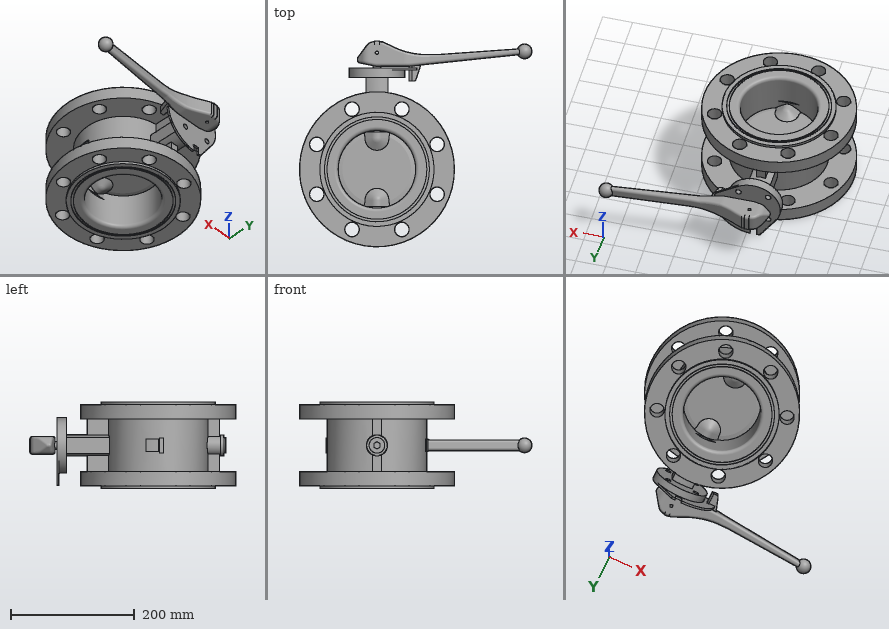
import cadquery as cq
import math


OVERALL_WIDTH = 375
OVERALL_DEPTH = 332.0

BODY_LENGTH = 140.0
BORE_DIA = 125.0
BORE_LIP_RADIUS = 6.0
BARREL_DIA = 161.0
FLANGE_DIA = 250.0
FLANGE_THICKNESS = 23.2
RAISED_FACE_DIA = 184.0
RAISED_FACE_HEIGHT = 4.5
GROOVE_OUTER_DIA = 169.0
GROOVE_INNER_DIA = 161.0
GROOVE_DEPTH = 2.2
BOLT_HOLE_DIA = 23.0
BOLT_CIRCLE_DIA = 210
BOLT_COUNT = 8

HALF_LENGTH = BODY_LENGTH / 2
BORE_RADIUS = BORE_DIA / 2
BARREL_RADIUS = BARREL_DIA / 2
FLANGE_TOP = HALF_LENGTH - RAISED_FACE_HEIGHT
FLANGE_INNER = FLANGE_TOP - FLANGE_THICKNESS

RIB_WIDTH = 15.0
RIB_FRONT_REACH = 99.0
RIB_BACK_REACH = 114.7

MARK_RADIUS = 82.0
MARK_SQUARE_HEIGHT = 20.0
MARK_SQUARE_Y = (-0.7, 20.0)
MARK_BAR_HEIGHT = 24.5
MARK_BAR_Y = (-8.5, -2.2)

DISC_FLAT_DIA = 110.5
DISC_HALF_THICKNESS = 4.0
DISC_RIM_HALF_THICKNESS = 3.0
SEAT_Y = 60.0
SEAT_HEIGHT = 36.0
HUB_CENTRE_Y = 50.0
HUB_CREST_HEIGHT = 15.0
HUB_CREST_HALF_WIDTH = 6.7
HUB_SLOPE = math.radians(35)

BOSS_DIA = 32.0
COLLAR_DIA = 34.0
COLLAR_START = 100.5
COLLAR_END = 105.7
CAP_DIA = 25.0
CAP_END = 109.0
HEX_ACROSS_FLATS = 10.0
HEX_DEPTH = 5.5

NECK_WIDTH = 36.0
NECK_HEIGHT = 35.0
NECK_FLAT_HEIGHT = 26.0
MOUNT_DIA = 90
MOUNT_START = 147.7
MOUNT_END = 160.0
MOUNT_HOLE_DIA = 9.0
MOUNT_HOLE_CIRCLE_DIA = 70.0
MOUNT_HOLE_COUNT = 4
QUADRANT_RADIUS = 65.0
QUADRANT_END = 163.5
QUADRANT_TANGENT_ANGLE = math.radians(56)

LEVER_BOTTOM = 166.0
LEVER_TOP = 206.0
HEAD_HALF_WIDTH = 14.5
HEAD_NOSE_X = -33.5
HEAD_NOSE_Y = (172.5, 177.0)
HEAD_SOLE_X = (-2.0, 52.5)
HEAD_BACK_TOP = (22.5, 199.5)
HEAD_BACK_MID = (48.0, 189.5)
HEAD_SHOULDER_X = -18.7
HEAD_SHOULDER_RADIUS = 15.0
HEAD_END_X = 46.0
HEAD_END_RADIUS = 26.2
HEAD_CROWN_X = (-12.0, 8.5)
HEAD_CROWN_RADIUS = 15
ARM_START_X = 85.5
ARM_START_TOP = 185.2
ARM_BEND_X = 99.7
ARM_END_Y = (185.5, 195.0)
ARM_WIDTH = 17.5
ARM_HALF_WIDTH = ARM_WIDTH / 2
LEVER_EDGE_RADIUS = 4.5
STEM_DIA = 12.7
LEVER_HOLE_DIA = 5.0
LEVER_HOLE_Y = 188.0
TAB_WIDTH = 7.5
TAB_BOTTOM = 201.5
TAB_TOP = OVERALL_DEPTH - FLANGE_DIA / 2
TAB_EDGE_RADIUS = 5.0
KNOB_DIA = 24.0
KNOB_X = OVERALL_WIDTH - FLANGE_DIA / 2 - KNOB_DIA / 2
KNOB_Y = 190.0
LATCH_START_X = 51.5
LATCH_BOTTOM = 142.0
LATCH_THICKNESS = 11.2
LATCH_TIP_X = 62.2
LATCH_ROOT_X = 71.5
LATCH_TIP_RADIUS = 3.7
LATCH_BEVEL = 5.2


def box(x_range, y_range, z_range):
    """Axis-aligned box between two limits on each axis."""
    lengths = [high - low for low, high in (x_range, y_range, z_range)]
    corner = (x_range[0], y_range[0], z_range[0])
    return cq.Workplane("XY").box(*lengths, centered=False).translate(corner)


def cylinder_z(diameter, z_start, z_end):
    return cq.Workplane("XY").workplane(offset=z_start).circle(diameter / 2).extrude(z_end - z_start)


def plane_y(y):
    """Plane across the Y axis, drawn in world X and Z; negative extrusion goes toward +Y."""
    return cq.Workplane(cq.Plane(origin=(0, y, 0), xDir=(1, 0, 0), normal=(0, -1, 0)))


def cylinder_y(diameter, y_start, y_end):
    return plane_y(y_start).circle(diameter / 2).extrude(-(y_end - y_start))


def flanged_barrel():
    shell = cylinder_z(BARREL_DIA, -HALF_LENGTH, HALF_LENGTH)
    shell = shell.union(cylinder_z(RAISED_FACE_DIA, FLANGE_TOP, HALF_LENGTH))
    shell = shell.union(cylinder_z(RAISED_FACE_DIA, -HALF_LENGTH, -FLANGE_TOP))
    shell = shell.union(cylinder_z(FLANGE_DIA, FLANGE_INNER, FLANGE_TOP))
    return shell.union(cylinder_z(FLANGE_DIA, -FLANGE_TOP, -FLANGE_INNER))


def face_groove(z_start):
    groove = cylinder_z(GROOVE_OUTER_DIA, z_start, z_start + GROOVE_DEPTH)
    return groove.cut(cylinder_z(GROOVE_INNER_DIA, z_start, z_start + GROOVE_DEPTH))


def bolt_holes():
    start_angle = 180 / BOLT_COUNT
    return (
        cq.Workplane("XY")
        .workplane(offset=-HALF_LENGTH)
        .polarArray(BOLT_CIRCLE_DIA / 2, start_angle, 360, BOLT_COUNT)
        .circle(BOLT_HOLE_DIA / 2)
        .extrude(BODY_LENGTH)
    )


def bore():
    """Through bore with a rounded lip at each end."""
    lip_outer = BORE_RADIUS + BORE_LIP_RADIUS
    lip_start = HALF_LENGTH - BORE_LIP_RADIUS
    lip_mid = BORE_LIP_RADIUS * math.sqrt(0.5)
    profile = (
        cq.Workplane("XZ")
        .moveTo(0, -HALF_LENGTH)
        .lineTo(lip_outer, -HALF_LENGTH)
        .threePointArc((lip_outer - lip_mid, -lip_start - lip_mid), (BORE_RADIUS, -lip_start))
        .lineTo(BORE_RADIUS, lip_start)
        .threePointArc((lip_outer - lip_mid, lip_start + lip_mid), (lip_outer, HALF_LENGTH))
        .lineTo(0, HALF_LENGTH)
        .close()
    )
    return profile.revolve(360, (0, 0, 0), (0, 1, 0))


def ribs():
    """One slab through the axis; only its front and back ends stand out of the barrel."""
    half_width = RIB_WIDTH / 2
    return box((-half_width, half_width), (-RIB_FRONT_REACH, RIB_BACK_REACH), (-FLANGE_INNER, FLANGE_INNER))


def side_marks():
    """Raised square and bar on the -X side, with the square repeated on the +X side."""
    x_range = (-FLANGE_DIA / 2, -BARREL_RADIUS / 2)
    square = box(x_range, MARK_SQUARE_Y, (-MARK_SQUARE_HEIGHT / 2, MARK_SQUARE_HEIGHT / 2))
    bar = box(x_range, MARK_BAR_Y, (-MARK_BAR_HEIGHT / 2, MARK_BAR_HEIGHT / 2))
    opposite_square = square.rotate((0, 0, 0), (0, 0, 1), 180)
    marks = square.union(bar).union(opposite_square)
    return marks.intersect(cylinder_z(2 * MARK_RADIUS, -FLANGE_INNER, FLANGE_INNER))


def shaft_plug():
    plug = cylinder_y(BOSS_DIA, -COLLAR_START, -BORE_RADIUS)
    plug = plug.union(cylinder_y(COLLAR_DIA, -COLLAR_END, -COLLAR_START))
    return plug.union(cylinder_y(CAP_DIA, -CAP_END, -COLLAR_END))


def hex_socket():
    """Hexagonal socket with two corners on the vertical."""
    across_corners = HEX_ACROSS_FLATS / math.cos(math.pi / 6)
    socket = plane_y(-CAP_END).polygon(6, across_corners).extrude(-HEX_DEPTH)
    return socket.rotate((0, 0, 0), (0, 1, 0), 30)


def neck():
    """Neck with two flat sides and a shallow arc above and below."""
    half_width = NECK_WIDTH / 2
    half_flat = NECK_FLAT_HEIGHT / 2
    half_height = NECK_HEIGHT / 2
    return (
        plane_y(BORE_RADIUS)
        .moveTo(half_width, -half_flat)
        .lineTo(half_width, half_flat)
        .threePointArc((0, half_height), (-half_width, half_flat))
        .lineTo(-half_width, -half_flat)
        .threePointArc((0, -half_height), (half_width, -half_flat))
        .close()
        .extrude(-(MOUNT_START - BORE_RADIUS))
    )


def mounting_flange():
    return cylinder_y(MOUNT_DIA, MOUNT_START, MOUNT_END)


def lever_quadrant():
    """Round plate widened by a sector toward +X and -Z, its two sides tangent to the round."""
    radius = MOUNT_DIA / 2
    tangent = (radius * math.cos(QUADRANT_TANGENT_ANGLE), radius * math.sin(QUADRANT_TANGENT_ANGLE))
    tip_angle = QUADRANT_TANGENT_ANGLE - math.acos(radius / QUADRANT_RADIUS)
    tip = (QUADRANT_RADIUS * math.cos(tip_angle), QUADRANT_RADIUS * math.sin(tip_angle))
    diagonal = math.sqrt(0.5)
    plate = (
        plane_y(MOUNT_END)
        .moveTo(*tangent)
        .lineTo(*tip)
        .threePointArc((QUADRANT_RADIUS * diagonal, -QUADRANT_RADIUS * diagonal), (-tip[1], -tip[0]))
        .lineTo(-tangent[1], -tangent[0])
        .threePointArc((-radius * diagonal, radius * diagonal), tangent)
        .close()
        .extrude(-(QUADRANT_END - MOUNT_END))
    )
    return plate.cut(latch_notch()).cut(latch_notch().rotate((0, 0, 0), (0, 1, 0), 90))


def latch_notch():
    """Slot in the +X edge of the quadrant that the latch drops into."""
    half = LATCH_THICKNESS / 2
    return box((LATCH_START_X, QUADRANT_RADIUS), (MOUNT_END, QUADRANT_END), (-half, half))


def mounting_holes():
    start_angle = 180 / MOUNT_HOLE_COUNT
    return (
        plane_y(MOUNT_START)
        .polarArray(MOUNT_HOLE_CIRCLE_DIA / 2, start_angle, 360, MOUNT_HOLE_COUNT)
        .circle(MOUNT_HOLE_DIA / 2)
        .extrude(-(QUADRANT_END - MOUNT_START))
    )


def lever_mount():
    """Mounting flange and quadrant plate, kept as separate faces where their round sides line up."""
    mount = mounting_flange().union(lever_quadrant(), clean=False)
    return mount.cut(mounting_holes(), clean=False)


def disc_plate():
    """Flat disc that closes the bore, thinned toward its rim on both faces."""
    profile = (
        cq.Workplane("XZ")
        .moveTo(0, -DISC_HALF_THICKNESS)
        .lineTo(DISC_FLAT_DIA / 2, -DISC_HALF_THICKNESS)
        .lineTo(BORE_RADIUS, -DISC_RIM_HALF_THICKNESS)
        .lineTo(BORE_RADIUS, DISC_RIM_HALF_THICKNESS)
        .lineTo(DISC_FLAT_DIA / 2, DISC_HALF_THICKNESS)
        .lineTo(0, DISC_HALF_THICKNESS)
        .close()
    )
    return profile.revolve(360, (0, 0, 0), (0, 1, 0))


def hub_half_profile():
    """Half of a roof section with a rounded crest, standing on the disc mid-plane."""
    crest_radius = HUB_CREST_HALF_WIDTH / math.sin(HUB_SLOPE)
    crest_centre = HUB_CREST_HEIGHT - crest_radius
    flank_top = crest_centre + crest_radius * math.cos(HUB_SLOPE)
    half_slope = HUB_SLOPE / 2
    crest_mid = (crest_radius * math.sin(half_slope), crest_centre + crest_radius * math.cos(half_slope))
    base_half_width = HUB_CREST_HALF_WIDTH + flank_top / math.tan(HUB_SLOPE)
    return (
        cq.Workplane("XZ")
        .moveTo(0, 0)
        .lineTo(base_half_width, 0)
        .lineTo(HUB_CREST_HALF_WIDTH, flank_top)
        .threePointArc(crest_mid, (0, HUB_CREST_HEIGHT))
        .close()
    )


def disc_hub():
    """Hub on the upper face at +Y: straight roof up to the seat, cone-shaped inner end."""
    half_roof = hub_half_profile().extrude(-(BORE_RADIUS - HUB_CENTRE_Y))
    cone_end = hub_half_profile().revolve(360, (0, 0, 0), (0, 1, 0))
    hub = half_roof.union(half_roof.mirror("YZ")).union(cone_end)
    hub = hub.translate((0, HUB_CENTRE_Y, 0))
    return hub.intersect(cylinder_z(BORE_DIA, 0, HALF_LENGTH))


def hub_seat():
    """Flat on the bore wall at +Y that the hubs stand against."""
    block = box((-BORE_RADIUS, BORE_RADIUS), (SEAT_Y, BORE_RADIUS), (-SEAT_HEIGHT / 2, SEAT_HEIGHT / 2))
    return block.intersect(cylinder_z(BORE_DIA, -HALF_LENGTH, HALF_LENGTH))


def disc():
    upper_hub = disc_hub()
    end = hub_seat().union(upper_hub).union(upper_hub.mirror("XY"))
    return disc_plate().union(end).union(end.mirror("XZ"))


def make_valve():
    valve = flanged_barrel().union(ribs()).union(side_marks()).union(shaft_plug()).union(neck())
    valve = valve.cut(bore()).cut(bolt_holes()).cut(hex_socket())
    valve = valve.cut(face_groove(HALF_LENGTH - GROOVE_DEPTH)).cut(face_groove(-HALF_LENGTH))
    valve = valve.union(disc())
    return valve.union(lever_mount(), clean=False)


def lever_side_shape():
    """Side outline of head and arm, swept through the full head width."""
    outline = (
        cq.Workplane("XY")
        .workplane(offset=-HEAD_HALF_WIDTH)
        .moveTo(HEAD_SOLE_X[0], LEVER_BOTTOM)
        .lineTo(HEAD_SOLE_X[1], LEVER_BOTTOM)
        .lineTo(KNOB_X, ARM_END_Y[0])
        .lineTo(KNOB_X, ARM_END_Y[1])
        .lineTo(ARM_BEND_X, ARM_START_TOP)
        .lineTo(ARM_START_X, ARM_START_TOP)
        .threePointArc(HEAD_BACK_MID, HEAD_BACK_TOP)
        .lineTo(HEAD_CROWN_X[1], LEVER_TOP)
        .lineTo(HEAD_CROWN_X[0], LEVER_TOP)
        .lineTo(HEAD_NOSE_X, HEAD_NOSE_Y[1])
        .lineTo(HEAD_NOSE_X, HEAD_NOSE_Y[0])
        .close()
    )
    prism = outline.extrude(2 * HEAD_HALF_WIDTH)
    crown = prism.edges("|Z").edges(">Y").edges("<X")
    return crown.fillet(HEAD_CROWN_RADIUS)


def edges_at_x(prism, x):
    """Edges along Y of a plan prism that lie at the given X."""
    tolerance = 0.05
    return prism.edges("|Y").filter(lambda edge: abs(edge.Center().x - x) < tolerance)


def lever_plan_shape():
    """Plan outline: pointed nose, straight head, taper, then a slim arm."""
    outline = (
        plane_y(LEVER_BOTTOM)
        .moveTo(HEAD_NOSE_X, 0)
        .lineTo(HEAD_SHOULDER_X, HEAD_HALF_WIDTH)
        .lineTo(HEAD_END_X, HEAD_HALF_WIDTH)
        .lineTo(ARM_START_X, ARM_HALF_WIDTH)
        .lineTo(KNOB_X, ARM_HALF_WIDTH)
        .lineTo(KNOB_X, -ARM_HALF_WIDTH)
        .lineTo(ARM_START_X, -ARM_HALF_WIDTH)
        .lineTo(HEAD_END_X, -HEAD_HALF_WIDTH)
        .lineTo(HEAD_SHOULDER_X, -HEAD_HALF_WIDTH)
        .close()
    )
    prism = outline.extrude(-(LEVER_TOP - LEVER_BOTTOM))
    prism = edges_at_x(prism, HEAD_SHOULDER_X).fillet(HEAD_SHOULDER_RADIUS)
    return edges_at_x(prism, HEAD_END_X).fillet(HEAD_END_RADIUS)


def latch():
    """Tapered finger hanging under the lever, beveled along its inner edges."""
    half = LATCH_THICKNESS / 2
    finger = (
        cq.Workplane("XY")
        .workplane(offset=-half)
        .moveTo(LATCH_START_X, LATCH_BOTTOM)
        .lineTo(LATCH_TIP_X, LATCH_BOTTOM)
        .lineTo(LATCH_ROOT_X, LEVER_BOTTOM + LEVER_EDGE_RADIUS)
        .lineTo(LATCH_START_X, LEVER_BOTTOM + LEVER_EDGE_RADIUS)
        .close()
        .extrude(LATCH_THICKNESS)
    )
    finger = finger.edges("|Z").edges("<Y").edges(">X").fillet(LATCH_TIP_RADIUS)
    return finger.edges("|Y").edges("<X").chamfer(LATCH_BEVEL / 2, LATCH_BEVEL)


def crown_tab():
    """Raised strip across the crown of the head, rounded down at both ends."""
    half_tab = TAB_WIDTH / 2
    tab = box((-half_tab, half_tab), (TAB_BOTTOM, TAB_TOP), (-HEAD_HALF_WIDTH, HEAD_HALF_WIDTH))
    return tab.edges("|X and >Y").fillet(TAB_EDGE_RADIUS)


def make_lever():
    lever = lever_side_shape().intersect(lever_plan_shape())
    lever = lever.edges("not |Z").edges("not >X").fillet(LEVER_EDGE_RADIUS)
    lever = lever.union(crown_tab())
    lever = lever.union(cq.Workplane("XY").sphere(KNOB_DIA / 2).translate((KNOB_X, KNOB_Y, 0)))
    lever = lever.union(cylinder_y(STEM_DIA, QUADRANT_END, LEVER_BOTTOM + LEVER_EDGE_RADIUS))
    lever = lever.union(latch())
    cross_hole = cylinder_z(LEVER_HOLE_DIA, -HEAD_HALF_WIDTH, HEAD_HALF_WIDTH)
    return lever.cut(cross_hole.translate((0, LEVER_HOLE_Y, 0)))


lever = make_lever()
valve = make_valve()

result = cq.Compound.makeCompound([valve.val(), lever.val()])